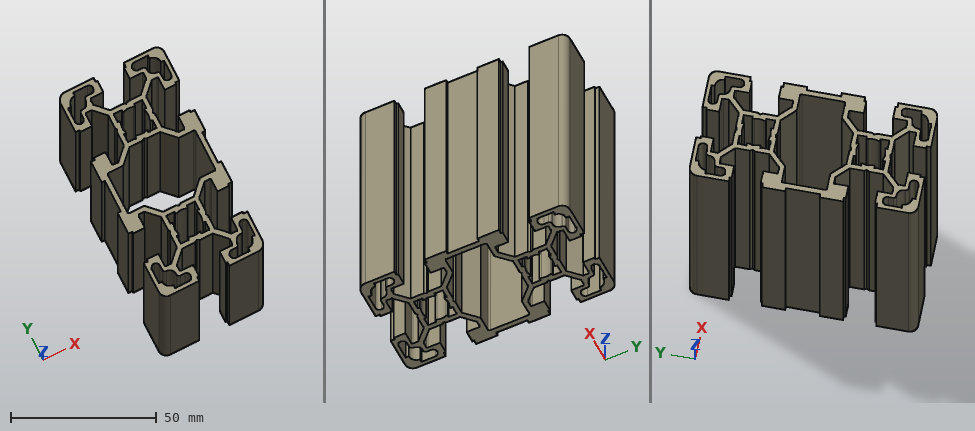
import cadquery as cq
import math

module = 40.0
length = 100.0
half_module = module / 2
corner_radius = 3.0
module_centers = (-half_module, half_module)

mouth_half_width = 5.8
mouth_depth = 1.5
neck_half_width = 5.1
lip_thickness = 6.0
slot_half_width = 10.2
slot_corner_radius = 0.4

core_half = 7.3
core_bore_half = 5.5
web_offset = 1.4
pad_half_width = 2.4
pad_face = 4.7
pilot_radius = 5.0
groove_half_width = 0.9
groove_depth = 0.5

skin = 1.5
cavity_wall = 1.6
cavity_tip = 7.6
cavity_leg_width = 3.1
cavity_tip_radius = 1.5
cavity_notch_edge = 14.4
cavity_notch_radius = 2.9
cavity_elbow_radius = 2.5
cavity_knee_radius = 1.0

chamber_half_width = 16.9
chamber_wall = 1.9
chamber_corner_radius = 0.6
recess_half_width = 6.0
recess_depth = 1.2

web_foot = core_half - web_offset


def prism(points):
    """Close a polygon in the XY plane and extrude it over the full length."""
    return cq.Workplane("XY").polyline(points).close().extrude(length)


def with_mirrored(half_points):
    """Complete a half outline that ends on the Y axis with its mirror image in X."""
    return half_points + [(-x, y) for x, y in reversed(half_points) if x != 0]


def fillet_at(body, corners, radius):
    """Round the full-length edges that stand at the given XY corners."""
    for x, y in corners:
        edge = cq.selectors.NearestToPointSelector((x, y, length / 2))
        body = body.edges("|Z").edges(edge).fillet(radius)
    return body


def place(body, angle, center_y=0):
    """Turn a body about the Z axis, then shift it along Y."""
    return body.rotate((0, 0, 0), (0, 0, 1), angle).translate((0, center_y, 0))


def t_slot():
    """Slot opening towards +Y, in the frame of one module, with a V-groove in its floor."""
    mouth_floor = half_module - mouth_depth
    lip_inside = half_module - lip_thickness
    half = [
        (mouth_half_width, half_module),
        (mouth_half_width, mouth_floor),
        (neck_half_width, mouth_floor),
        (neck_half_width, lip_inside),
        (slot_half_width, lip_inside),
        (slot_half_width, slot_half_width + web_offset),
        (web_foot, core_half),
        (groove_half_width, core_half),
        (0, core_half - groove_depth),
    ]
    corners = [(side * slot_half_width, lip_inside) for side in (-1, 1)]
    return fillet_at(prism(with_mirrored(half)), corners, slot_corner_radius)


def core_bore():
    """Square bore of a module core, with a pad on each wall hollowed by a round pilot bore."""
    size = 2 * core_bore_half
    bore = cq.Workplane("XY").rect(size, size).extrude(length)
    pad_thickness = core_bore_half - pad_face
    pad_middle = pad_face + pad_thickness / 2
    pad = cq.Workplane("XY").center(0, pad_middle).rect(2 * pad_half_width, pad_thickness).extrude(length)
    for quarter in range(4):
        bore = bore.cut(place(pad, 90 * quarter))
    return bore.union(cq.Workplane("XY").circle(pilot_radius).extrude(length))


def corner_cavity():
    """L-shaped hollow behind the +X +Y corner of a module, symmetric about its diagonal."""
    outer = half_module - skin
    leg_inside = outer - cavity_leg_width
    elbow = slot_half_width + cavity_wall
    notch_top = cavity_notch_edge + cavity_notch_radius
    notch_mid = cavity_notch_edge + cavity_notch_radius * math.sqrt(0.5)
    cavity = (
        cq.Workplane("XY")
        .moveTo(cavity_tip, outer)
        .lineTo(cavity_notch_edge, outer)
        .lineTo(cavity_notch_edge, notch_top)
        .threePointArc((notch_mid, notch_mid), (notch_top, cavity_notch_edge))
        .lineTo(outer, cavity_notch_edge)
        .lineTo(outer, cavity_tip)
        .lineTo(leg_inside, cavity_tip)
        .lineTo(leg_inside, elbow)
        .lineTo(elbow, elbow)
        .lineTo(elbow, leg_inside)
        .lineTo(cavity_tip, leg_inside)
        .close()
        .extrude(length)
    )
    tips = [(cavity_tip, outer), (cavity_tip, leg_inside), (outer, cavity_tip), (leg_inside, cavity_tip)]
    knees = [(elbow, leg_inside), (leg_inside, elbow)]
    cavity = fillet_at(cavity, tips, cavity_tip_radius)
    cavity = fillet_at(cavity, knees, cavity_knee_radius)
    return fillet_at(cavity, [(elbow, elbow)], cavity_elbow_radius)


def central_chamber():
    """Chamber between the two cores, narrowing along the diagonal webs at both ends."""
    shoulder = slot_half_width + chamber_wall
    side_end = half_module - shoulder
    core_end = half_module - core_half
    half = [
        (chamber_half_width, side_end),
        (shoulder - web_offset, side_end),
        (web_foot, core_end),
        (groove_half_width, core_end),
        (0, core_end + groove_depth),
    ]
    upper = with_mirrored(half)
    lower = [(x, -y) for x, y in reversed(upper)]
    corners = [(sx * chamber_half_width, sy * side_end) for sx in (-1, 1) for sy in (-1, 1)]
    return fillet_at(prism(upper + lower), corners, chamber_corner_radius)


profile = cq.Workplane("XY").rect(module, 2 * module).extrude(length).edges("|Z").fillet(corner_radius)

slot = t_slot()
bore = core_bore()
cavity = corner_cavity()

for center_y in module_centers:
    end_angle = 0 if center_y > 0 else 180
    profile = profile.cut(place(bore, 0, center_y))
    for turn in (-90, 0, 90):
        profile = profile.cut(place(slot, end_angle + turn, center_y))
    for turn in (0, 90):
        profile = profile.cut(place(cavity, end_angle + turn, center_y))

profile = profile.cut(central_chamber())

side_recesses = (
    cq.Workplane("XY")
    .pushPoints([(-half_module, 0), (half_module, 0)])
    .rect(2 * recess_depth, 2 * recess_half_width)
    .extrude(length)
)

result = profile.cut(side_recesses)